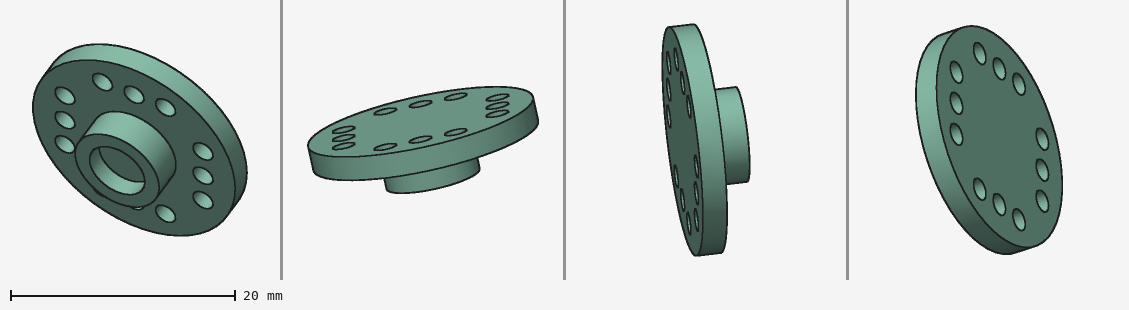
import cadquery as cq

disc_diameter = 20.5
disc_thickness = 2.2
overall_depth = 5.3
boss_diameter = 8.5
recess_diameter = 5.6
recess_depth = 1.75
hole_diameter = 2.0
hole_pitch = 3.2
row_offset = 7.0
holes_per_row = 3
row_count = 4

boss_length = overall_depth - disc_thickness


def row_points():
    """Centres of one straight row of holes above the axis."""
    middle = (holes_per_row - 1) / 2
    return [((i - middle) * hole_pitch, row_offset) for i in range(holes_per_row)]


disc = cq.Workplane("XZ").circle(disc_diameter / 2).extrude(-disc_thickness)

boss = cq.Workplane("XZ").circle(boss_diameter / 2).extrude(boss_length)
result = disc.union(boss)

recess = (
    cq.Workplane("XZ", origin=(0, -boss_length, 0))
    .circle(recess_diameter / 2)
    .extrude(-recess_depth)
)
result = result.cut(recess)

hole_row = (
    cq.Workplane("XZ")
    .pushPoints(row_points())
    .circle(hole_diameter / 2)
    .extrude(-disc_thickness)
)
for row in range(row_count):
    angle = row * 360 / row_count
    result = result.cut(hole_row.rotate((0, 0, 0), (0, 1, 0), angle))